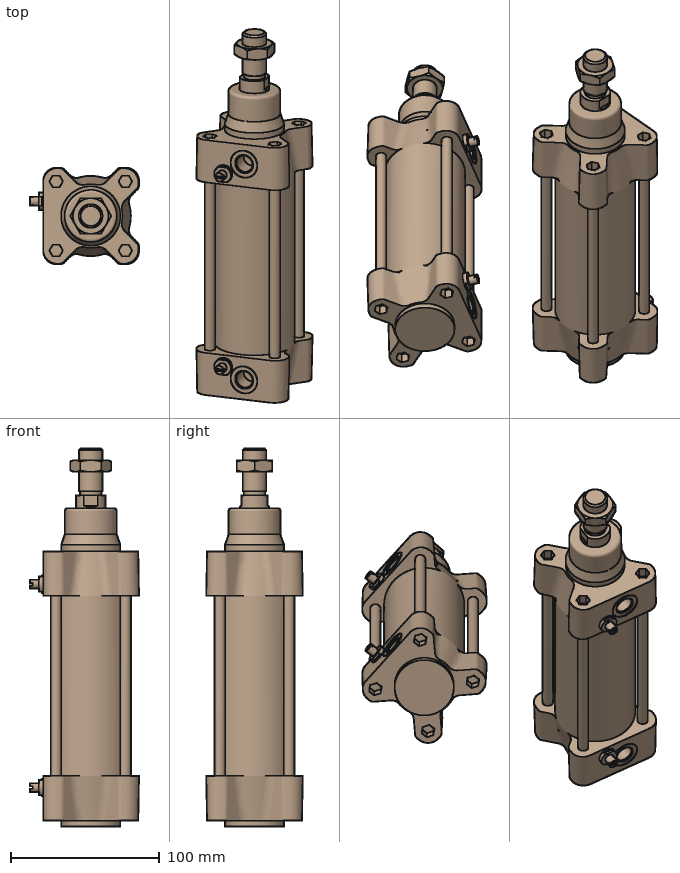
import cadquery as cq
import math

total_length = 254.0
cap_height = 30.0
rear_boss_height = 4.0
rear_cap_bottom = rear_boss_height
rear_cap_top = rear_cap_bottom + cap_height
front_cap_bottom = 155.0
front_cap_top = front_cap_bottom + cap_height
mirror_height = (rear_cap_bottom + front_cap_top) / 2

cap_half_width = 32.5
port_face_x = -32.0
draft_angle = 1.0
valley_offset = 13.5
lobe_radius = 9.1
shoulder_radius = 3.8
web_top_radius = 21.3
web_blend_radius = 6.4

tube_diameter = 54.0
tie_rod_diameter = 7.0
tie_rod_spacing = 46.5
tie_rod_offset = tie_rod_spacing / 2
socket_across_flats = 8.0
socket_depth = 7.5

port_y = -4.3
port_height = 16.0
port_diameter = 11.5
port_depth = 15.2
port_chamfer = 0.8
port_spotface_diameter = 19.0
port_spotface_depth = 0.5
screw_y = 10.0
screw_height = 8.0
screw_flange_diameter = 12.0
screw_flange_thickness = 2.8
screw_stem_diameter = 6.0
screw_length = 9.0
flange_across_flats = 10.5
flange_flat_depth = 1.8
driver_slot_width = 1.5
driver_slot_depth = 1.8

collar_diameter = 35.0
collar_foot_diameter = 40.0
collar_foot_height = 4.3
collar_flare_height = 7.0
collar_top = 213.9
collar_edge_radius = 2.0

rod_diameter = 20.0
rod_bottom = front_cap_bottom
rod_shoulder = 222.5
rod_flats_bottom = 215.6
rod_across_flats = 17.8
flat_runout_height = 1.0
neck_diameter = 14.5
neck_top = 225.3
thread_diameter = 16.0
thread_chamfer = 1.3

nut_bottom = 238.3
nut_thickness = 8.0
nut_across_flats = 24.0
nut_corner_drop = 1.0


def across_corners(across_flats):
    return across_flats / math.cos(math.radians(30))


def cylinder(diameter, bottom, top):
    return cq.Workplane("XY").workplane(offset=bottom).circle(diameter / 2).extrude(top - bottom)


def cap_outline(inset, height):
    """Sharp-cornered cap outline; every face but the flat port face moves in by the inset."""
    edge = cap_half_width - inset
    valley = valley_offset - inset * math.sqrt(2)
    shoulder = edge - valley
    points = [
        (port_face_x, -edge),
        (-shoulder, -edge),
        (0, -valley),
        (shoulder, -edge),
        (edge, -edge),
        (edge, -shoulder),
        (valley, 0),
        (edge, shoulder),
        (edge, edge),
        (shoulder, edge),
        (0, valley),
        (-shoulder, edge),
        (port_face_x, edge),
    ]
    return cq.Wire.makePolygon([cq.Vector(x, y, height) for x, y in points], close=True)


def upright_edges(shape, wanted):
    """Steep edges whose midpoint (x, y) distances from the axis satisfy the condition."""
    found = []
    for edge in shape.edges().vals():
        start, end = edge.startPoint(), edge.endPoint()
        middle = edge.positionAt(0.5)
        if abs(end.z - start.z) > cap_height / 2 and wanted(abs(middle.x), abs(middle.y)):
            found.append(edge)
    return found


def drafted_lobes():
    """Four rounded corner lobes, widest on the tube side and drafted towards the outer end."""
    inset = cap_height * math.tan(math.radians(draft_angle))
    lobes = cq.Workplane(
        cq.Solid.makeLoft(
            [cap_outline(0, front_cap_bottom), cap_outline(inset, front_cap_top)], True
        )
    )

    def is_corner(x, y):
        return min(x, y) > tie_rod_offset

    def is_shoulder(x, y):
        return max(x, y) > tie_rod_offset > min(x, y) > valley_offset

    lobes = lobes.newObject(upright_edges(lobes, is_corner)).fillet(lobe_radius)
    return lobes.newObject(upright_edges(lobes, is_shoulder)).fillet(shoulder_radius)


def cap_blank():
    """Lobes joined by a conical web that grows out to the tube diameter, with blended valleys."""
    web = cq.Workplane(
        cq.Solid.makeCone(
            tube_diameter / 2, web_top_radius, cap_height, cq.Vector(0, 0, front_cap_bottom)
        )
    )
    blank = drafted_lobes().union(web)

    def is_valley(x, y):
        return math.hypot(x, y) < tube_diameter / 2

    return blank.newObject(upright_edges(blank, is_valley)).fillet(web_blend_radius)


def port_face_plane(y, height):
    return cq.Workplane(
        cq.Plane(origin=(port_face_x, y, height), xDir=(0, -1, 0), normal=(-1, 0, 0))
    )


def air_port():
    """Removed material: spotface, chamfer and blind hole."""
    plane = port_face_plane(port_y, front_cap_bottom + port_height)
    hole = plane.circle(port_diameter / 2).extrude(-port_depth)
    spotface = plane.circle(port_spotface_diameter / 2).extrude(-port_spotface_depth)
    chamfer = (
        plane.workplane(offset=-port_spotface_depth)
        .circle(port_diameter / 2 + port_chamfer)
        .extrude(-port_chamfer, taper=45)
    )
    return hole.union(spotface).union(chamfer)


def cushion_screw():
    """Flange with two flats and a slotted stem standing out from the port face."""
    plane = port_face_plane(screw_y, front_cap_bottom + screw_height)
    flange = plane.circle(screw_flange_diameter / 2).extrude(screw_flange_thickness)
    flange_flats = (
        plane.workplane(offset=screw_flange_thickness)
        .rect(screw_flange_diameter, screw_flange_diameter)
        .rect(screw_flange_diameter, flange_across_flats)
        .extrude(-flange_flat_depth)
    )
    stem = plane.circle(screw_stem_diameter / 2).extrude(screw_length)
    driver_slot = (
        plane.workplane(offset=screw_length)
        .rect(screw_stem_diameter, driver_slot_width)
        .extrude(-driver_slot_depth)
    )
    return flange.cut(flange_flats).union(stem).cut(driver_slot)


def tie_rod_pattern(height):
    plane = cq.Workplane("XY").workplane(offset=height)
    return plane.rect(tie_rod_spacing, tie_rod_spacing, forConstruction=True).vertices()


def end_cap():
    """Front cap; its mirror image is the rear cap."""
    sockets = (
        tie_rod_pattern(front_cap_top)
        .polygon(6, across_corners(socket_across_flats))
        .extrude(-socket_depth)
    )
    return cap_blank().cut(sockets).cut(air_port()).union(cushion_screw())


def collar():
    """Round foot, conical flare and rounded sleeve around the piston rod."""
    foot_radius = collar_foot_diameter / 2
    sleeve_radius = collar_diameter / 2
    foot_top = front_cap_top + collar_foot_height
    flare_top = foot_top + collar_flare_height
    profile = (
        cq.Workplane("XZ")
        .moveTo(0, front_cap_top)
        .lineTo(foot_radius, front_cap_top)
        .lineTo(foot_radius, foot_top)
        .lineTo(sleeve_radius, flare_top)
        .lineTo(sleeve_radius, collar_top)
        .lineTo(0, collar_top)
        .close()
    )
    return profile.revolve(360).faces(">Z").edges().fillet(collar_edge_radius)


def make_housing():
    """Mirrored end caps joined by the tube and tie rods, bored for the piston rod."""
    front_cap = end_cap()
    rear_cap = front_cap.mirror("XY", (0, 0, mirror_height))
    tube = cylinder(tube_diameter, rear_cap_top, front_cap_bottom)
    tie_rods = (
        tie_rod_pattern(rear_cap_top)
        .circle(tie_rod_diameter / 2)
        .extrude(front_cap_bottom - rear_cap_top)
    )
    rear_boss = cylinder(collar_foot_diameter, 0, rear_cap_bottom)
    rod_bore = cylinder(rod_diameter, rod_bottom, collar_top)
    body = front_cap.union(rear_cap).union(tube).union(tie_rods).union(rear_boss)
    return body.union(collar()).cut(rod_bore)


def make_piston_rod():
    """Rod with two wrench flats that run out on a slope, a relief neck and a threaded end."""
    shank = cylinder(rod_diameter, rod_bottom, rod_shoulder)
    flat_y = rod_across_flats / 2
    surface_y = rod_diameter / 2
    flat_cut = (
        cq.Workplane("YZ")
        .moveTo(flat_y, rod_shoulder)
        .lineTo(flat_y, rod_flats_bottom)
        .lineTo(surface_y, rod_flats_bottom - flat_runout_height)
        .lineTo(surface_y, rod_shoulder)
        .close()
        .extrude(rod_diameter / 2, both=True)
    )
    shank = shank.cut(flat_cut).cut(flat_cut.mirror("XZ"))
    neck = cylinder(neck_diameter, rod_shoulder, neck_top)
    thread = cylinder(thread_diameter, neck_top, total_length)
    thread = thread.faces(">Z").edges().chamfer(thread_chamfer)
    return shank.union(neck).union(thread)


def make_lock_nut():
    """Hexagon nut with conical chamfers on both faces."""
    corner_radius = across_corners(nut_across_flats) / 2
    flat_radius = nut_across_flats / 2
    hexagon = (
        cq.Workplane("XY")
        .workplane(offset=nut_bottom)
        .polygon(6, 2 * corner_radius)
        .extrude(nut_thickness)
    )
    nut_top = nut_bottom + nut_thickness
    chamfered_disc = (
        cq.Workplane("XZ")
        .moveTo(0, nut_bottom)
        .lineTo(flat_radius, nut_bottom)
        .lineTo(corner_radius, nut_bottom + nut_corner_drop)
        .lineTo(corner_radius, nut_top - nut_corner_drop)
        .lineTo(flat_radius, nut_top)
        .lineTo(0, nut_top)
        .close()
        .revolve(360)
    )
    return hexagon.intersect(chamfered_disc).cut(cylinder(thread_diameter, nut_bottom, nut_top))


housing = make_housing()
piston_rod = make_piston_rod()
lock_nut = make_lock_nut()

result = cq.Compound.makeCompound([housing.val(), piston_rod.val(), lock_nut.val()])